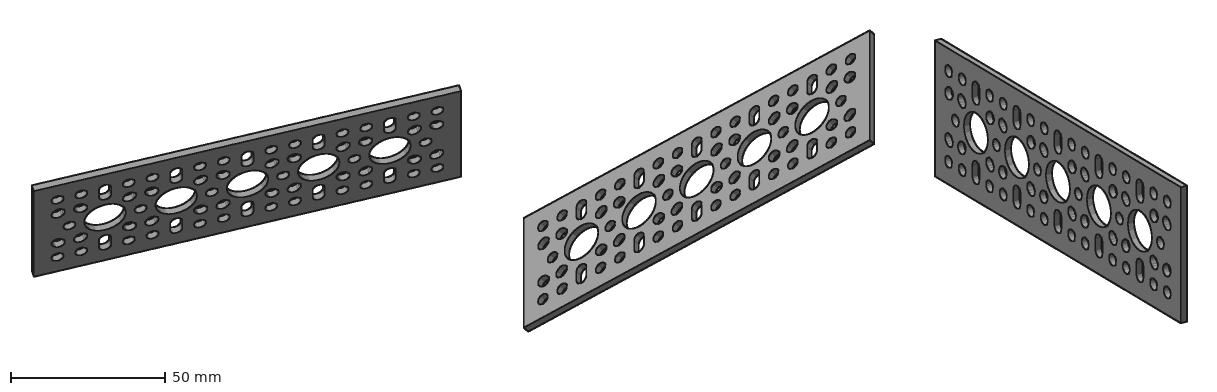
import cadquery as cq
import math

length = 144.0
thickness = 2.5
cell_count = 6
pitch = length / cell_count
height = 2 * pitch

bore_diameter = 14.0
hole_diameter = 4.0

grid = pitch / 3
outer_row = 2 * grid
column_offset = grid / 2

slot_travel = pitch / 6
slot_length = slot_travel + hole_diameter
slot_height = outer_row - slot_travel / 2

diagonal_inner_radius = grid * math.sqrt(2)
diagonal_outer_radius = pitch / 2
diagonal_radius = (diagonal_inner_radius + diagonal_outer_radius) / 2
diagonal_length = diagonal_outer_radius - diagonal_inner_radius + hole_diameter
diagonal_from_bore = diagonal_radius / math.sqrt(2)
diagonal_column = pitch / 2 - diagonal_from_bore

cell_centres = [(i + 0.5) * pitch - length / 2 for i in range(cell_count)]
bore_centres = [i * pitch - length / 2 for i in range(1, cell_count)]
sides = (-1, 1)


def round_cutter(points, diameter):
    """Cylinders through the plate at the given (y, z) points."""
    return plate_plane().pushPoints(points).circle(diameter / 2).extrude(thickness)


def slot_cutter(points, slot_size, angle):
    """Slots through the plate, turned by angle in degrees from +Y towards +Z."""
    return plate_plane().pushPoints(points).slot2D(slot_size, hole_diameter, angle).extrude(thickness)


def plate_plane():
    """YZ plane on the -X face of the plate."""
    return cq.Workplane("YZ", origin=(-thickness / 2, 0, 0))


plate = plate_plane().rect(length, height).extrude(thickness)

slot_points = [(y, side * slot_height) for y in bore_centres for side in sides]
plate = plate.cut(round_cutter([(y, 0) for y in bore_centres], bore_diameter))
plate = plate.cut(slot_cutter(slot_points, slot_length, 90))

hole_points = [(y, 0) for y in cell_centres]
hole_points += [
    (y + across * column_offset, up * outer_row)
    for y in cell_centres
    for across in sides
    for up in sides
]
plate = plate.cut(round_cutter(hole_points, hole_diameter))

for across in sides:
    for up in sides:
        points = [(y + across * diagonal_column, up * diagonal_from_bore) for y in cell_centres]
        plate = plate.cut(slot_cutter(points, diagonal_length, -45 * across * up))

result = plate